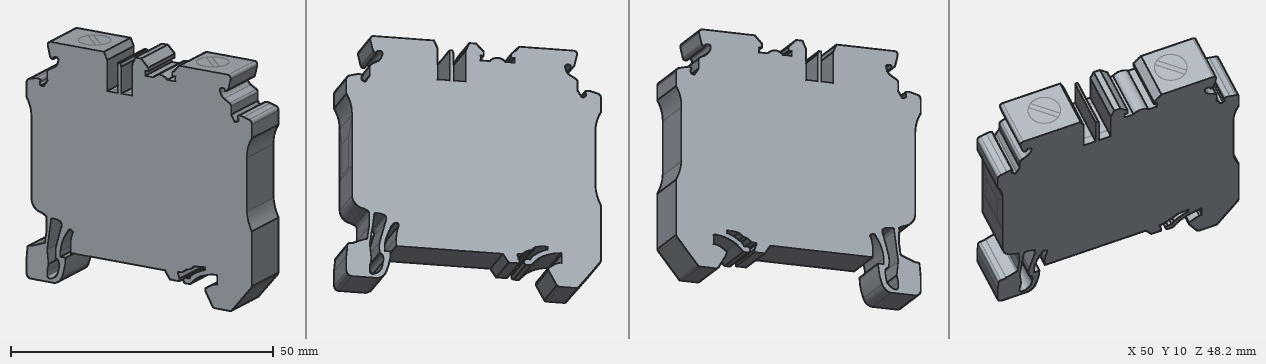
import cadquery as cq

LENGTH = 50.0
THICKNESS = 10.0
HEIGHT = 48.25
HALF_LENGTH = LENGTH / 2
RAIL_FACE_Z = 6.65
CLEARANCE = 1.0

FLANK_X = 23.9
FLANK_TOP_Z = 32.35
FLANK_FLARE_TOP_Z = 36.35
RIGHT_FLARE_START_Z = 21.55
RIGHT_FLARE_END_Z = 17.7

SLOT_LEFT_X = -7.1
SLOT_RIGHT_X = -1.55
SLOT_FLOOR_Z = 40.5
SLOT_LEAD_IN_Z = 46.7
SLOT_LEAD_IN_WIDTH = 0.7
WEB_LEFT_X = -4.7
WEB_RIGHT_X = -3.95
WEB_TOP_Z = 46.55
WEB_CHAMFER_WIDTH = 0.25
WEB_CHAMFER_HEIGHT = 0.65

GROOVE_CENTER_X = 4.7
GROOVE_FLOOR_Z = 44.95
GROOVE_LIP_Z = 45.95
GROOVE_NECK_Z = 46.7
GROOVE_HALF_FLOOR = 3.35
GROOVE_HALF_NECK = 2.7
GROOVE_HALF_TOP = 4.25
GROOVE_BUMP_HALF_WIDTH = 1.55
GROOVE_BUMP_HEIGHT = 0.75

SCREW_X = 13.1
SCREW_Y = 0.35
SCREW_DIAMETER = 6.2
SCREW_DEPTH = 1.5
DRIVER_SLOT_WIDTH = 1.05
DRIVER_SLOT_ANGLE = -45.0

BAR_BACK_Y = 3.75
BAR_FRONT_Y = -3.4
BAR_DEPTH = 1.5

ENTRY_BACK_Y = 3.25
ENTRY_FRONT_Y = -2.15
ENTRY_TOP_Z = 28.85
ENTRY_BOTTOM_Z = 22.6
BORDER_BOTTOM_Z = 22.0
ENTRY_DEPTH = 0.5


def trace(start, steps):
    """Closed XZ outline; a step is an end point (line) or a pair of points (arc: middle, end)."""
    path = cq.Workplane("XZ").moveTo(*start)
    for step in steps:
        if isinstance(step[0], tuple):
            path = path.threePointArc(*step)
        else:
            path = path.lineTo(*step)
    return path.close()


def through(start, steps):
    """Extrude an XZ outline over the whole thickness."""
    return trace(start, steps).extrude(THICKNESS / 2, both=True)


def box(x_range, y_range, z_range):
    """Box between pairs of limits."""
    size = [high - low for low, high in (x_range, y_range, z_range)]
    corner = (x_range[0], y_range[0], z_range[0])
    return cq.Workplane("XY").box(*size, centered=False).translate(corner)


def both_sides(shape):
    """Shape together with its mirror image across the middle of the length."""
    return shape.union(shape.mirror("YZ"))


def make_block():
    return box(
        (-HALF_LENGTH, HALF_LENGTH),
        (-THICKNESS / 2, THICKNESS / 2),
        (RAIL_FACE_Z, HEIGHT),
    )


def shoulder_cut():
    """Space outside the hooked upper left shoulder."""
    outside_x = -HALF_LENGTH - CLEARANCE
    outside_z = HEIGHT + CLEARANCE
    return through(
        (outside_x, 39.2),
        [
            (-HALF_LENGTH, 39.2),
            ((-24.75, 39.8), (-24.3, 40.05)),
            (-23.1, 40.35),
            ((-22.6, 40.45), (-22.1, 40.4)),
            ((-21.85, 40.2), (-21.95, 39.9)),
            ((-22.0, 39.4), (-21.7, 39.2)),
            ((-21.3, 39.05), (-21.1, 39.25)),
            (-20.4, 40.35),
            (-20.4, 42.15),
            ((-20.25, 42.45), (-20.0, 42.65)),
            (-18.8, 43.35),
            ((-18.3, 43.85), (-18.0, 44.5)),
            ((-18.05, 45.2), (-18.65, 45.4)),
            ((-18.95, 45.25), (-19.05, 44.85)),
            ((-19.45, 44.95), (-19.8, 45.4)),
            (-20.3, 47.45),
            ((-20.1, 48.05), (-19.5, HEIGHT)),
            (-19.5, outside_z),
            (outside_x, outside_z),
        ],
    )


def left_flank_cut():
    """Recess from the flared top of the left flank down to the foot."""
    outside_x = -HALF_LENGTH - CLEARANCE
    return through(
        (outside_x, FLANK_FLARE_TOP_Z),
        [
            (-HALF_LENGTH, FLANK_FLARE_TOP_Z),
            ((-24.2, 34.55), (-FLANK_X, FLANK_TOP_Z)),
            (-FLANK_X, 16.15),
            ((-23.25, 14.5), (-21.65, 13.65)),
            (-21.1, 13.4),
            ((-20.7, 13.15), (-20.55, 12.7)),
            (-20.55, RAIL_FACE_Z - CLEARANCE),
            (outside_x, RAIL_FACE_Z - CLEARANCE),
        ],
    )


def right_flank_cut():
    """Shallow recess with a flare at both ends."""
    outside_x = HALF_LENGTH + CLEARANCE
    return through(
        (outside_x, FLANK_FLARE_TOP_Z),
        [
            (HALF_LENGTH, FLANK_FLARE_TOP_Z),
            ((24.2, 34.55), (FLANK_X, FLANK_TOP_Z)),
            (FLANK_X, RIGHT_FLARE_START_Z),
            ((24.25, 19.55), (HALF_LENGTH, RIGHT_FLARE_END_Z)),
            (outside_x, RIGHT_FLARE_END_Z),
        ],
    )


def jumper_slot_cut():
    """Slot with flared mouth, leaving the web standing."""
    outside_z = HEIGHT + CLEARANCE
    slot = through(
        (SLOT_LEFT_X, SLOT_FLOOR_Z),
        [
            (SLOT_LEFT_X, SLOT_LEAD_IN_Z),
            (SLOT_LEFT_X - SLOT_LEAD_IN_WIDTH, HEIGHT),
            (SLOT_LEFT_X - SLOT_LEAD_IN_WIDTH, outside_z),
            (SLOT_RIGHT_X + SLOT_LEAD_IN_WIDTH, outside_z),
            (SLOT_RIGHT_X + SLOT_LEAD_IN_WIDTH, HEIGHT),
            (SLOT_RIGHT_X, SLOT_LEAD_IN_Z),
            (SLOT_RIGHT_X, SLOT_FLOOR_Z),
        ],
    )
    web = through(
        (WEB_LEFT_X, SLOT_FLOOR_Z),
        [
            (WEB_LEFT_X, WEB_TOP_Z),
            (WEB_RIGHT_X - WEB_CHAMFER_WIDTH, WEB_TOP_Z),
            (WEB_RIGHT_X, WEB_TOP_Z - WEB_CHAMFER_HEIGHT),
            (WEB_RIGHT_X, SLOT_FLOOR_Z),
        ],
    )
    return slot.cut(web)


def marker_groove_cut():
    """Undercut groove with a rounded bump along its floor."""
    outside_z = HEIGHT + CLEARANCE

    def left(offset):
        return GROOVE_CENTER_X - offset

    def right(offset):
        return GROOVE_CENTER_X + offset

    return through(
        (left(GROOVE_HALF_TOP), outside_z),
        [
            (left(GROOVE_HALF_TOP), HEIGHT),
            (left(GROOVE_HALF_NECK), GROOVE_NECK_Z),
            (left(GROOVE_HALF_NECK), GROOVE_LIP_Z),
            (left(GROOVE_HALF_FLOOR), GROOVE_LIP_Z),
            (left(GROOVE_HALF_FLOOR), GROOVE_FLOOR_Z),
            (left(GROOVE_BUMP_HALF_WIDTH), GROOVE_FLOOR_Z),
            (
                (GROOVE_CENTER_X, GROOVE_FLOOR_Z + GROOVE_BUMP_HEIGHT),
                (right(GROOVE_BUMP_HALF_WIDTH), GROOVE_FLOOR_Z),
            ),
            (right(GROOVE_HALF_FLOOR), GROOVE_FLOOR_Z),
            (right(GROOVE_HALF_FLOOR), GROOVE_LIP_Z),
            (right(GROOVE_HALF_NECK), GROOVE_LIP_Z),
            (right(GROOVE_HALF_NECK), GROOVE_NECK_Z),
            (right(GROOVE_HALF_TOP), HEIGHT),
            (right(GROOVE_HALF_TOP), outside_z),
        ],
    )


def left_foot():
    """Springy foot hanging below the left flank, still without its openings."""
    return through(
        (-20.55, 12.7),
        [
            (-20.55, 10.25),
            (-20.85, 8.2),
            ((-20.9, 7.85), (-21.1, 7.65)),
            (-23.25, 6.85),
            ((-23.75, 6.65), (-24.35, 6.6)),
            ((-24.7, 6.4), (-24.8, 6.0)),
            (-HALF_LENGTH, 4.0),
            (-HALF_LENGTH, 1.0),
            ((-24.7, 0.3), (-24.0, 0)),
            (-18.8, 0),
            ((-17.8, 0.5), (-17.1, 1.55)),
            ((-16.55, 3.35), (-16.3, 5.5)),
            (-17.45, 5.5),
            (-17.45, RAIL_FACE_Z),
            (-15.2, RAIL_FACE_Z),
            (-15.2, 12.7),
        ],
    )


def left_foot_openings():
    """Spring window inside the foot and the open gap behind its latch."""
    window = through(
        (-19.55, 12.5),
        [
            ((-19.4, 12.85), (-19.1, 12.95)),
            ((-18.35, 12.9), (-17.55, 12.65)),
            ((-17.2, 12.2), (-17.3, 11.4)),
            (-18.45, 7.3),
            ((-18.55, 6.15), (-18.45, 5.05)),
            ((-17.85, 4.45), (-17.85, 3.25)),
            ((-18.5, 1.45), (-19.65, 0.75)),
            ((-20.15, 0.85), (-20.4, 1.25)),
            (-20.4, 2.2),
            (-20.1, 3.6),
            (-20.4, 6.5),
        ],
    )
    gap = through(
        (-17.45, 5.5),
        [
            (-17.45, 6.75),
            ((-16.8, 9.15), (-15.8, 10.9)),
            ((-15.2, 11.3), (-14.7, 10.8)),
            ((-15.05, 9.65), (-15.2, 8.4)),
            (-15.2, 5.5),
        ],
    )
    return window.union(gap)


def right_foot():
    """Rail claw below the block, with the small stop ahead of it."""
    stop = through(
        (5.7, RAIL_FACE_Z),
        [
            (6.85, 5.0),
            (8.95, 5.0),
            (8.95, 5.55),
            (8.55, RAIL_FACE_Z),
        ],
    )
    claw = through(
        (17.3, RAIL_FACE_Z),
        [
            (17.3, 5.7),
            (16.8, 5.7),
            ((15.7, 5.2), (14.7, 4.55)),
            (14.65, 4.05),
            (16.3, 1.15),
            ((16.5, 1.0), (16.8, 0.9)),
            (20.1, 0.9),
            ((20.4, 0.95), (20.65, 1.2)),
            (24.8, 6.25),
            (HALF_LENGTH, RAIL_FACE_Z),
        ],
    )
    return stop.union(claw)


def right_foot_gap():
    """Space between the stop and the claw, cut up into the block."""
    return through(
        (8.55, RAIL_FACE_Z - CLEARANCE),
        [
            (8.55, RAIL_FACE_Z),
            (8.7, 6.85),
            (9.6, 6.95),
            (10.5, 7.6),
            (11.25, 7.8),
            (12.2, 8.5),
            ((13.3, 8.7), (14.55, 8.7)),
            (14.55, 8.2),
            (17.1, 7.65),
            (17.3, 7.45),
            (17.3, RAIL_FACE_Z - CLEARANCE),
        ],
    )


def right_foot_finger():
    """Curved spring finger reaching down from the claw."""
    return through(
        (14.55, 8.2),
        [
            ((13.0, 7.55), (11.55, 6.65)),
            (11.05, 5.9),
            (10.25, 5.95),
            ((9.85, 5.5), (10.25, 4.8)),
            (11.25, 4.8),
            (12.75, 6.25),
            ((14.6, 7.15), (17.1, 7.65)),
            (17.1, 8.2),
        ],
    )


def set_flush(body, insert):
    """Replace part of the body by a flush insert, keeping the joint lines on the surface."""
    fitted = body.intersect(insert)
    return body.cut(insert, clean=False).union(fitted, clean=False)


def add_screw(body, x):
    """Round screw head with a driver slot, level with the top."""
    head = (
        cq.Workplane("XY", origin=(x, SCREW_Y, HEIGHT - SCREW_DEPTH))
        .circle(SCREW_DIAMETER / 2)
        .extrude(SCREW_DEPTH)
    )
    slot = (
        cq.Workplane("XY", origin=(x, SCREW_Y, HEIGHT - SCREW_DEPTH))
        .transformed(rotate=(0, 0, DRIVER_SLOT_ANGLE))
        .rect(SCREW_DIAMETER, DRIVER_SLOT_WIDTH)
        .extrude(SCREW_DEPTH)
        .intersect(head)
    )
    return set_flush(set_flush(body, head), slot)


def entry_panel(corners):
    """Insert for the left flank, from its (Y, Z) corners."""
    return cq.Workplane("YZ", origin=(-FLANK_X, 0, 0)).polyline(corners).close().extrude(ENTRY_DEPTH)


def add_entry(body):
    """Wire-entry panel framed by the two tapering borders above and below it."""
    half = THICKNESS / 2
    top = [(ENTRY_FRONT_Y, ENTRY_TOP_Z), (ENTRY_BACK_Y, ENTRY_TOP_Z)]
    bottom = [(ENTRY_BACK_Y, ENTRY_BOTTOM_Z), (ENTRY_FRONT_Y, ENTRY_BOTTOM_Z)]
    upper_border = top + [(half, FLANK_TOP_Z), (-half, FLANK_TOP_Z)]
    lower_border = bottom + [(-half, BORDER_BOTTOM_Z), (half, BORDER_BOTTOM_Z)]
    for corners in (top + bottom, upper_border, lower_border):
        body = set_flush(body, entry_panel(corners))
    return body


housing = make_block().cut(both_sides(shoulder_cut()))
housing = housing.cut(left_flank_cut()).cut(right_flank_cut())
housing = housing.cut(jumper_slot_cut()).cut(marker_groove_cut())

housing = housing.union(left_foot()).cut(left_foot_openings())
housing = housing.cut(right_foot_gap()).union(right_foot()).union(right_foot_finger())

metal_bar = box(
    (SLOT_LEFT_X, SLOT_RIGHT_X),
    (BAR_FRONT_Y, BAR_BACK_Y),
    (SLOT_FLOOR_Z - BAR_DEPTH, SLOT_FLOOR_Z),
)
housing = set_flush(housing, metal_bar)
for screw_x in (-SCREW_X, SCREW_X):
    housing = add_screw(housing, screw_x)
result = add_entry(housing)